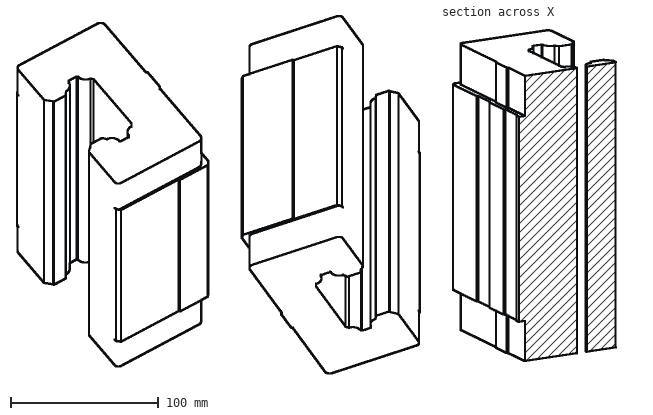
import cadquery as cq
import math

block_width = 126.0
block_height = 75.0
overall_length = 200.5
block_length = 144.2
cap_length = (overall_length - block_length) / 2

block_half_width = block_width / 2
skirt_half_width = 62.2
step_width = block_half_width - skirt_half_width
left_step_height = 35.5
right_step_height = 50.0
block_chamfer = 2.3
relief_inner_x = 10.0
relief_outer_x = 27.6
relief_depth = 1.0

cap_half_width = 61.2
cap_height = 70.4
cap_top_radius = 3.7
cap_bottom_radius = 3.0
pad_half_width = 8.4
pad_height = 0.9

roof_height = 37.7
roof_half_width = 23.0
race_center_x = 30.9
race_radius = 6.1
race_mid_height = 26.3
race_half_spacing = 10.0
pocket_half_width = 31.4
pocket_half_height = 3.3
mouth_half_width = 22.0
mouth_chamfer = 4.3
mouth_break_x = 0.7
mouth_break_y = 0.3
mouth_top_height = 14.4

COS_45 = math.cos(math.radians(45))


def extrude_along_rail(sketch, length):
    """Extrude a cross-section symmetrically about the mid-length plane."""
    return sketch.extrude(length / 2, both=True)


def make_block():
    """Steel block with 45 degree side steps at different heights and two shallow top reliefs."""
    outline = (
        cq.Workplane("XY")
        .moveTo(-skirt_half_width + block_chamfer, 0)
        .lineTo(skirt_half_width - block_chamfer, 0)
        .lineTo(skirt_half_width, block_chamfer)
        .lineTo(skirt_half_width, right_step_height - step_width)
        .lineTo(block_half_width, right_step_height)
        .lineTo(block_half_width, block_height - block_chamfer)
        .lineTo(block_half_width - block_chamfer, block_height)
        .lineTo(-block_half_width + block_chamfer, block_height)
        .lineTo(-block_half_width, block_height - block_chamfer)
        .lineTo(-block_half_width, left_step_height)
        .lineTo(-skirt_half_width, left_step_height - step_width)
        .lineTo(-skirt_half_width, block_chamfer)
        .close()
    )
    return extrude_along_rail(outline, block_length).cut(make_top_reliefs())


def make_top_reliefs():
    """Two shallow channels with 45 degree flanks along the top of the block."""
    reliefs = cq.Workplane("XY")
    for side in (-1, 1):
        outline = (
            cq.Workplane("XY")
            .moveTo(side * relief_inner_x, block_height)
            .lineTo(side * (relief_inner_x + relief_depth), block_height - relief_depth)
            .lineTo(side * (relief_outer_x - relief_depth), block_height - relief_depth)
            .lineTo(side * relief_outer_x, block_height)
            .close()
        )
        reliefs = reliefs.add(extrude_along_rail(outline, block_length))
    return reliefs.combine()


def make_cap(start_z):
    """End cap with rounded corners and a low central pad with 45 degree flanks on its top."""
    body = (
        cq.Workplane("XY", origin=(0, cap_height / 2, start_z))
        .rect(2 * cap_half_width, cap_height)
        .extrude(cap_length)
        .edges("|Z and >Y")
        .fillet(cap_top_radius)
        .edges("|Z and <Y")
        .fillet(cap_bottom_radius)
    )
    pad = (
        cq.Workplane("XY", origin=(0, cap_height, start_z))
        .moveTo(-pad_half_width, 0)
        .lineTo(-pad_half_width + pad_height, pad_height)
        .lineTo(pad_half_width - pad_height, pad_height)
        .lineTo(pad_half_width, 0)
        .close()
        .extrude(cap_length)
    )
    return body.union(pad)


def make_rail_opening():
    """Mirrored opening with a rounded race lip above and below a side pocket."""
    upper_race_y = race_mid_height + race_half_spacing
    lower_race_y = race_mid_height - race_half_spacing
    break_x = mouth_half_width + mouth_break_x
    lip_x = race_center_x - race_radius
    lip_mid_x = race_center_x - race_radius * COS_45
    lip_mid_drop = race_radius * COS_45
    half = (
        cq.Workplane("XY")
        .moveTo(0, roof_height)
        .lineTo(roof_half_width, roof_height)
        .lineTo(lip_x, upper_race_y)
        .threePointArc((lip_mid_x, upper_race_y - lip_mid_drop), (race_center_x, upper_race_y - race_radius))
        .lineTo(pocket_half_width, race_mid_height + pocket_half_height)
        .lineTo(pocket_half_width, race_mid_height - pocket_half_height)
        .lineTo(race_center_x, lower_race_y + race_radius)
        .threePointArc((lip_mid_x, lower_race_y + lip_mid_drop), (lip_x, lower_race_y))
        .lineTo(break_x, mouth_top_height + mouth_break_y)
        .lineTo(mouth_half_width, mouth_top_height)
        .lineTo(mouth_half_width, mouth_chamfer + mouth_break_y)
        .lineTo(break_x, mouth_chamfer)
        .lineTo(break_x + mouth_chamfer, 0)
        .lineTo(0, 0)
        .close()
    )
    right_half = extrude_along_rail(half, overall_length)
    return right_half.union(right_half.mirror("YZ"))


carriage = make_block()
for cap_start_z in (-overall_length / 2, block_length / 2):
    carriage = carriage.union(make_cap(cap_start_z), clean=False)

result = carriage.cut(make_rail_opening(), clean=False)